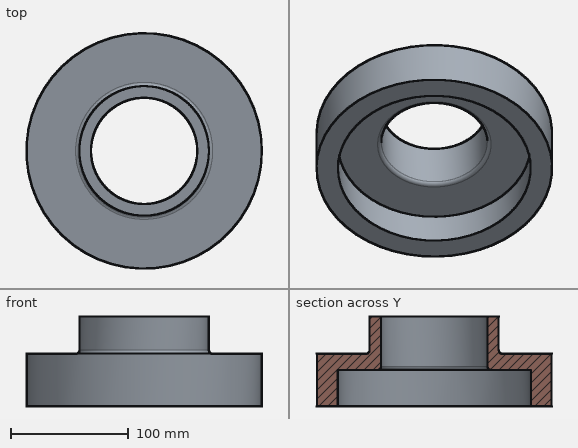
import cadquery as cq

flange_diameter = 199.9
flange_thickness = 44.5
hub_diameter = 110.0
bore_diameter = 90.0
total_height = 76.2
recess_diameter = 163.5
web_thickness = 14.0
fillet_radius = 3.2

recess_depth = flange_thickness - web_thickness


def disc(diameter, height):
    """Solid cylinder about Z, standing on the XY plane."""
    return cq.Workplane("XY").circle(diameter / 2).extrude(height)


def round_circle(body, diameter, height):
    """Fillet the circular edge of the given diameter at the given height."""
    reach = diameter / 2 + 0.2
    slab = 0.2
    region = cq.selectors.BoxSelector(
        (-reach, -reach, height - slab),
        (reach, reach, height + slab),
        boundingbox=True,
    )
    return body.edges(region).fillet(fillet_radius)


body = disc(flange_diameter, flange_thickness).union(disc(hub_diameter, total_height))
body = round_circle(body, hub_diameter, flange_thickness)

body = body.cut(disc(bore_diameter, total_height))
body = body.cut(disc(recess_diameter, recess_depth))

result = round_circle(body, bore_diameter, recess_depth)